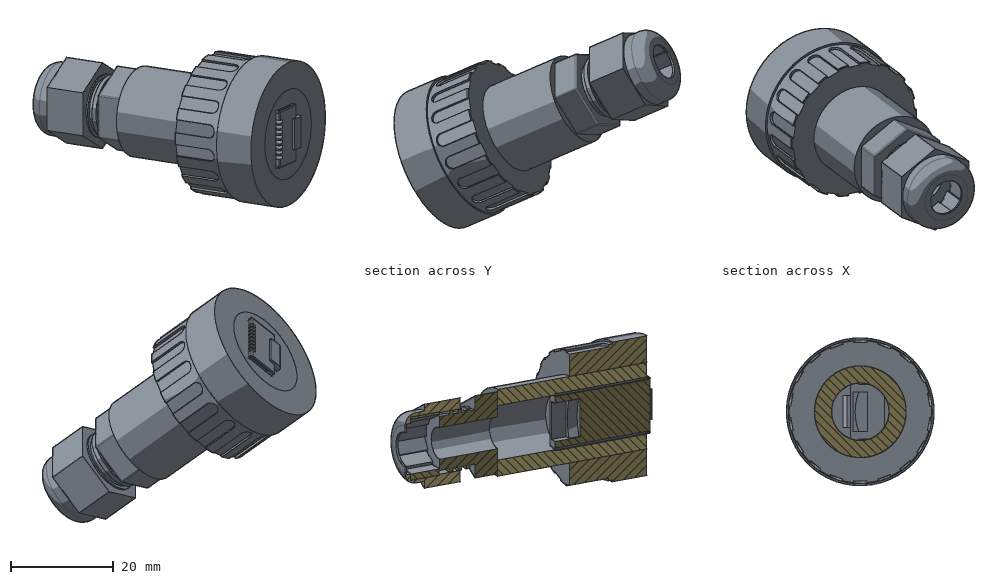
import cadquery as cq
import math

LIP_END = 0.45
CAGE_START = 1.4
DOME_ROUND = 2.5
NUT_HEX_START = 4.4
NUT_END = 12.45
GLAND_HEX_START = 15.7
SHELL_START = 20.85
RING_START = 36.95
COLLAR_START = 46.6
RING_END = 54.35
PLUG_FRONT = 55.2
LATCH_FRONT = 55.65
PLUG_LENGTH = 21.5
PLUG_REAR = PLUG_FRONT - PLUG_LENGTH
LATCH_REAR = PLUG_REAR + 1.1

NUT_ACROSS_FLATS = 15.0
DOME_RADIUS = 7.3
NUT_HOLE_RADIUS = 3.5
CABLE_RADIUS = 3.2
NUT_MOUTH_RADIUS = 5.2
CAGE_RADIUS = 6.45
CAGE_FINGER_COUNT = 12
CAGE_BORE_RADIUS = 5.2
NECK_RADIUS = 5.6
NECK_START = 7.8
THREAD_RADIUS = 6.3
THREAD_WIDTH = 0.9
THREAD_PITCH = 1.9
LAST_THREAD_START = 13.8
THREAD_COUNT = 3
GLAND_ACROSS_FLATS = 14.75
GLAND_EDGE_ROUND = 0.3

SHELL_RADIUS = 8.95
SHELL_BORE_RADIUS = 5.55
GRIP_RADIUS = 14.0
COLLAR_RADIUS = 14.4
GRIP_CHAMFER = 0.15
FLUTE_COUNT = 18
FLUTE_WIDTH = 2.55
FLUTE_END = 45.75
FLUTE_FLOOR_RADIUS = 13.5

PLUG_WIDTH = 11.6
PLUG_TOP = 1.9
PLUG_BOTTOM = -4.7
PLUG_CHAMFER = 0.2
SIDE_STEP_TOP = 0.3
SIDE_STEP_DEPTH = 0.45
SIDE_STEP_FRONT = 54.75
CONTACT_COUNT = 8
CONTACT_ROW_SPAN = 7.2
CONTACT_PITCH = CONTACT_ROW_SPAN / (CONTACT_COUNT - 1)
CONTACT_SLOT_WIDTH = 0.7
CONTACT_SLOT_DEPTH = 0.65
CONTACT_SLOT_LENGTH = 6.1
LATCH_WIDTH = 6.25
LATCH_TOP = 3.35
LATCH_BOTTOM = 0.3
LATCH_ROUND = 0.7
LATCH_REAR_SLOPE_LENGTH = 0.35
LATCH_REAR_SLOPE_HEIGHT = 0.7
CABLE_ENTRY_HALF_HEIGHT = 1.4
CABLE_ENTRY_WIDTH = 7.8
CABLE_ENTRY_DEPTH = 3.35
CABLE_STEP_DEPTH = 2.2
CABLE_STEP_TOP = 1.0
CABLE_STEP_RADIUS = 11.15


def cylinder(start, end, radius):
    """A cylinder about the X axis."""
    return cq.Workplane("YZ", origin=(start, 0, 0)).circle(radius).extrude(end - start)


def hexagon(start, end, across_flats):
    """A hexagonal prism along X with corners at +Z and -Z."""
    across_corners = across_flats / math.cos(math.pi / 6)
    face = cq.Workplane("YZ", origin=(start, 0, 0)).transformed(rotate=(0, 0, 90))
    return face.polygon(6, across_corners).extrude(end - start)


def block(x_range, y_range, z_range):
    """A box given by its (low, high) limits on each axis."""
    lows, highs = zip(x_range, y_range, z_range)
    sizes = [high - low for low, high in zip(lows, highs)]
    return cq.Workplane("XY").box(*sizes, centered=False).translate(lows)


def centred(width):
    return (-width / 2, width / 2)


def make_gland_nut():
    dome = cylinder(0, NUT_HEX_START, DOME_RADIUS).faces("<X").edges().fillet(DOME_ROUND)
    nut = dome.union(hexagon(NUT_HEX_START, NUT_END, NUT_ACROSS_FLATS))
    nut = nut.cut(cylinder(0, LIP_END, NUT_HOLE_RADIUS))
    nut = nut.cut(cylinder(LIP_END, CAGE_START, NUT_MOUTH_RADIUS))
    nut = nut.cut(cylinder(CAGE_START, NECK_START, CAGE_RADIUS))
    return nut.cut(cylinder(NECK_START, NUT_END, THREAD_RADIUS))


def make_clamping_cage():
    """A sleeve whose bore is a ring of twelve overlapping flat fingers, like saw teeth.

    Each flat touches the bore circle at one end and runs outward to the next finger's step.
    """
    step = 2 * math.pi / CAGE_FINGER_COUNT
    tip_radius = CAGE_BORE_RADIUS / math.cos(step)
    points = []
    for index in range(CAGE_FINGER_COUNT):
        for radius, angle in ((CAGE_BORE_RADIUS, index * step), (tip_radius, (index + 1) * step)):
            points.append((radius * math.cos(angle), radius * math.sin(angle)))
    bore = cq.Workplane("YZ", origin=(CAGE_START, 0, 0)).polyline(points).close()
    return cylinder(CAGE_START, NECK_START, CAGE_RADIUS).cut(bore.extrude(NECK_START - CAGE_START))


def make_gland_body():
    hexagon_part = hexagon(GLAND_HEX_START, SHELL_START, GLAND_ACROSS_FLATS)
    hexagon_part = hexagon_part.edges("|X or <X").fillet(GLAND_EDGE_ROUND)
    body = hexagon_part.union(cylinder(NECK_START, GLAND_HEX_START, NECK_RADIUS))
    for index in range(THREAD_COUNT):
        start = LAST_THREAD_START - index * THREAD_PITCH
        body = body.union(cylinder(start, start + THREAD_WIDTH, THREAD_RADIUS))
    return body.cut(cylinder(NECK_START, SHELL_START, CABLE_RADIUS))


def plug_block():
    return block((PLUG_REAR, PLUG_FRONT), (PLUG_BOTTOM, PLUG_TOP), centred(PLUG_WIDTH))


def latch_block():
    return block((LATCH_REAR, LATCH_FRONT), (LATCH_BOTTOM, LATCH_TOP), centred(LATCH_WIDTH))


def make_back_shell():
    shell = cylinder(SHELL_START, RING_END, SHELL_RADIUS)
    shell = shell.cut(cylinder(SHELL_START, LATCH_REAR, SHELL_BORE_RADIUS))
    return shell.cut(plug_block()).cut(latch_block())


def flute():
    """Cutter for the grip flute on the +Z side: flat floor, round inner end."""
    radius = FLUTE_WIDTH / 2
    centre = FLUTE_END - radius
    outline = (
        cq.Workplane("XY", origin=(0, 0, FLUTE_FLOOR_RADIUS))
        .moveTo(RING_START, -radius)
        .lineTo(centre, -radius)
        .threePointArc((FLUTE_END, 0), (centre, radius))
        .lineTo(RING_START, radius)
        .close()
    )
    return outline.extrude(COLLAR_RADIUS - FLUTE_FLOOR_RADIUS)


def make_coupling_ring():
    grip = cylinder(RING_START, COLLAR_START, GRIP_RADIUS).faces("<X").edges().chamfer(GRIP_CHAMFER)
    ring = grip.union(cylinder(COLLAR_START, RING_END, COLLAR_RADIUS))
    ring = ring.cut(cylinder(RING_START, RING_END, SHELL_RADIUS))
    for index in range(FLUTE_COUNT):
        angle = index * 360 / FLUTE_COUNT
        ring = ring.cut(flute().rotate((0, 0, 0), (1, 0, 0), angle))
    return ring


def contact_slot():
    """Cutter for a contact slot in the -Y side of the plug, with a rounded floor."""
    end = PLUG_FRONT
    start = end - CONTACT_SLOT_LENGTH
    floor = PLUG_BOTTOM + CONTACT_SLOT_DEPTH
    slot = block((start, end), (PLUG_BOTTOM, floor), centred(CONTACT_SLOT_WIDTH))
    return slot.union(cylinder(start, end, CONTACT_SLOT_WIDTH / 2).translate((0, floor, 0)))


def make_plug():
    plug = plug_block().edges(">X or (|X and >Y)").chamfer(PLUG_CHAMFER)
    side_step = block(
        (PLUG_REAR, SIDE_STEP_FRONT),
        (PLUG_BOTTOM, SIDE_STEP_TOP),
        (PLUG_WIDTH / 2 - SIDE_STEP_DEPTH, PLUG_WIDTH / 2),
    )
    plug = plug.cut(side_step).cut(side_step.mirror("XY"))
    for index in range(CONTACT_COUNT):
        centre = (index - (CONTACT_COUNT - 1) / 2) * CONTACT_PITCH
        plug = plug.cut(contact_slot().translate((0, 0, centre)))
    latch = latch_block().edges(">X and >Y").fillet(LATCH_ROUND)
    latch = latch.edges("<X and >Y").chamfer(LATCH_REAR_SLOPE_LENGTH, LATCH_REAR_SLOPE_HEIGHT)
    plug = plug.union(latch)
    cable_entry = block(
        (PLUG_REAR, PLUG_REAR + CABLE_ENTRY_DEPTH),
        (-CABLE_ENTRY_HALF_HEIGHT, CABLE_ENTRY_HALF_HEIGHT),
        centred(CABLE_ENTRY_WIDTH),
    )
    step_start = PLUG_REAR + CABLE_ENTRY_DEPTH
    arch = cylinder(step_start, step_start + CABLE_STEP_DEPTH, CABLE_STEP_RADIUS)
    arch = arch.translate((0, CABLE_STEP_TOP - CABLE_STEP_RADIUS, 0))
    cable_step = cable_entry.translate((CABLE_STEP_DEPTH, 0, 0)).intersect(arch)
    return plug.cut(cable_entry).cut(cable_step)


gland_nut = make_gland_nut()
clamping_cage = make_clamping_cage()
gland_body = make_gland_body()
back_shell = make_back_shell()
coupling_ring = make_coupling_ring()
plug = make_plug()

result = cq.Compound.makeCompound(
    [
        gland_nut.val(),
        clamping_cage.val(),
        gland_body.val(),
        back_shell.val(),
        coupling_ring.val(),
        plug.val(),
    ]
)